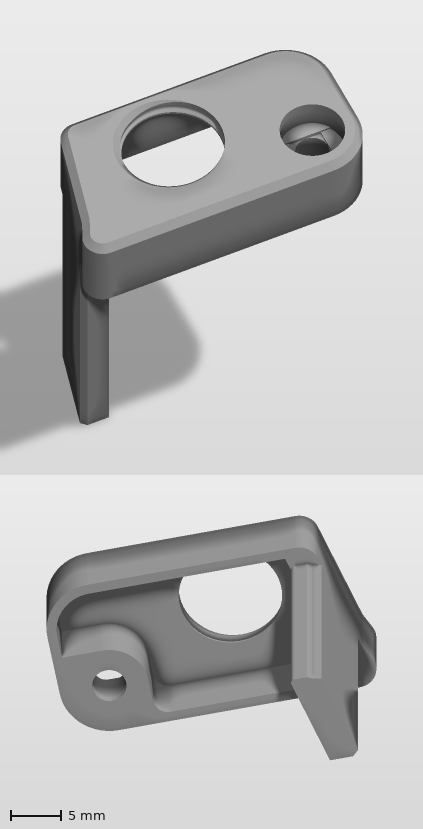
import cadquery as cq
import math

width = 16.3
length = 31.35
height = 34.0
right = width / 2
back = length / 2

head_height = 8.02
head_bottom = height - head_height
top_chamfer = 0.75
back_radius = 5.0
front_radius = 2.0
front_tilt = math.radians(13.5)
heel_tilt = 2 * front_tilt
front_left_y = -11.95
heel_start_x = 3.7

roof = 2.0
wall = 1.0
cavity_radius = 1.5

screw_x = right - back_radius
screw_y = back - back_radius
counterbore_diameter = 6.5
counterbore_depth = 3.0
screw_diameter = 3.4
bridge_step = 0.2
boss_radius = 3.9

opening_x = -1.35
opening_y = -2.45
opening_diameter = 10.27
countersink_y = -2.95
countersink_diameter = 11.05
groove_top_depth = 0.58
groove_height = 1.2
groove_depth = 0.9

leg_left = -6.22
leg_right = 3.2
leg_back_y = -9.35
leg_edge_radius = 0.4
leg_round_start_y = -11.15
leg_round_end = (-5.95, -11.7)
leg_front_left = -5.78
leg_front_right = 2.65
leg_right_step = 0.58


def front_y(x):
    return front_left_y - (x + right) * math.tan(front_tilt)


def leg_back(x):
    return leg_back_y - (x - leg_left) * math.tan(front_tilt)


def disc(x, y, diameter, top, depth):
    return cq.Workplane("XY", origin=(x, y, top - depth)).circle(diameter / 2).extrude(depth)


def on_circle(center, radius, angle):
    return (center[0] + radius * math.cos(angle), center[1] + radius * math.sin(angle))


def make_head():
    """Head block with rounded corners, a sloping front and a rounded heel."""
    tangent_length = front_radius * math.tan((math.pi / 2 - front_tilt) / 2)
    left_center = (-right + front_radius, front_left_y + tangent_length)
    heel_center = (right - front_radius, -back + front_radius)
    left_end_angle = -math.pi / 2 - front_tilt
    heel_end_angle = -math.pi / 2 - heel_tilt
    back_left = (-screw_x, screw_y)
    back_right = (screw_x, screw_y)
    return (
        cq.Workplane("XY", origin=(0, 0, head_bottom))
        .moveTo(-right, left_center[1])
        .threePointArc(
            on_circle(left_center, front_radius, (left_end_angle - math.pi) / 2),
            on_circle(left_center, front_radius, left_end_angle),
        )
        .lineTo(heel_start_x, front_y(heel_start_x))
        .lineTo(*on_circle(heel_center, front_radius, heel_end_angle))
        .threePointArc(
            on_circle(heel_center, front_radius, heel_end_angle / 2),
            (right, heel_center[1]),
        )
        .lineTo(right, screw_y)
        .threePointArc(on_circle(back_right, back_radius, math.pi / 4), (screw_x, back))
        .lineTo(-screw_x, back)
        .threePointArc(on_circle(back_left, back_radius, 3 * math.pi / 4), (-right, screw_y))
        .close()
        .extrude(head_height)
        .faces(">Z")
        .chamfer(top_chamfer)
    )


def make_cavity():
    """Hollow under the roof, leaving a boss joined to the walls around the screw."""
    inner_x = right - wall
    inner_back = back - wall
    depth = head_height - roof
    base = cq.Workplane("XY", origin=(0, 0, head_bottom))
    boss_front = screw_y - boss_radius
    hollow = (
        base.moveTo(-inner_x, leg_back(-inner_x))
        .lineTo(inner_x, leg_back(inner_x))
        .lineTo(inner_x, boss_front)
        .lineTo(screw_x, boss_front)
        .threePointArc(
            on_circle((screw_x, screw_y), boss_radius, -3 * math.pi / 4),
            (screw_x - boss_radius, screw_y),
        )
        .lineTo(screw_x - boss_radius, inner_back)
        .lineTo(-inner_x, inner_back)
        .close()
        .extrude(depth)
    )
    right_corner = cq.selectors.NearestToPointSelector((inner_x, boss_front, head_bottom + depth / 2))
    left_corner = cq.selectors.NearestToPointSelector((-inner_x, inner_back, head_bottom + depth / 2))
    hollow = hollow.edges(right_corner).fillet(cavity_radius)
    return hollow.edges(left_corner).fillet(back_radius - wall)


def make_screw_recess():
    """Counterbore, then a slot step and a square step, then the through hole."""
    slot_top = height - counterbore_depth
    square_top = slot_top - bridge_step
    counterbore = disc(screw_x, screw_y, counterbore_diameter, height, counterbore_depth)
    slot_disc = disc(screw_x, screw_y, counterbore_diameter, slot_top, bridge_step)
    slot = slot_disc.intersect(
        cq.Workplane("XY", origin=(screw_x, screw_y, square_top))
        .rect(screw_diameter, counterbore_diameter)
        .extrude(bridge_step)
    )
    square = (
        cq.Workplane("XY", origin=(screw_x, screw_y, square_top - bridge_step))
        .rect(screw_diameter, screw_diameter)
        .extrude(bridge_step)
    )
    hole = disc(screw_x, screw_y, screw_diameter, height, head_height)
    return counterbore.union(slot).union(square).union(hole)


def make_opening():
    """Round opening with a V groove inside and an off-centre 45 degree countersink."""
    radius = opening_diameter / 2
    groove_top = height - groove_top_depth
    groove_bottom = groove_top - groove_height
    bore = (
        cq.Workplane("XZ", origin=(opening_x, opening_y, 0))
        .moveTo(0, height - roof)
        .lineTo(radius, height - roof)
        .lineTo(radius, groove_bottom)
        .lineTo(radius + groove_depth, (groove_top + groove_bottom) / 2)
        .lineTo(radius, groove_top)
        .lineTo(radius, height)
        .lineTo(0, height)
        .close()
        .revolve(360, (0, 0, 0), (0, 1, 0))
    )
    sink_radius = countersink_diameter / 2
    countersink = (
        cq.Workplane("XZ", origin=(opening_x, countersink_y, 0))
        .moveTo(0, height)
        .lineTo(sink_radius, height)
        .lineTo(0, height - sink_radius)
        .close()
        .revolve(360, (0, 0, 0), (0, 1, 0))
    )
    below_roof = cq.Workplane("XY").box(width, length, height - roof, centered=(True, True, False))
    return bore.union(countersink.cut(below_roof))


def make_leg():
    """Leg plate flush with the sloping front of the head."""
    front_right_y = front_y(leg_front_right)
    return (
        cq.Workplane("XY")
        .moveTo(leg_left, leg_back(leg_left))
        .lineTo(leg_left, leg_round_start_y)
        .lineTo(*leg_round_end)
        .lineTo(leg_front_left, front_y(leg_front_left))
        .lineTo(leg_front_right, front_right_y)
        .lineTo(leg_right, front_right_y + leg_right_step)
        .lineTo(leg_right, leg_back(leg_right))
        .close()
        .extrude(head_bottom)
        .edges("|Z and >Y")
        .fillet(leg_edge_radius)
    )


result = make_head().cut(make_cavity()).union(make_leg()).cut(make_opening()).cut(make_screw_recess())